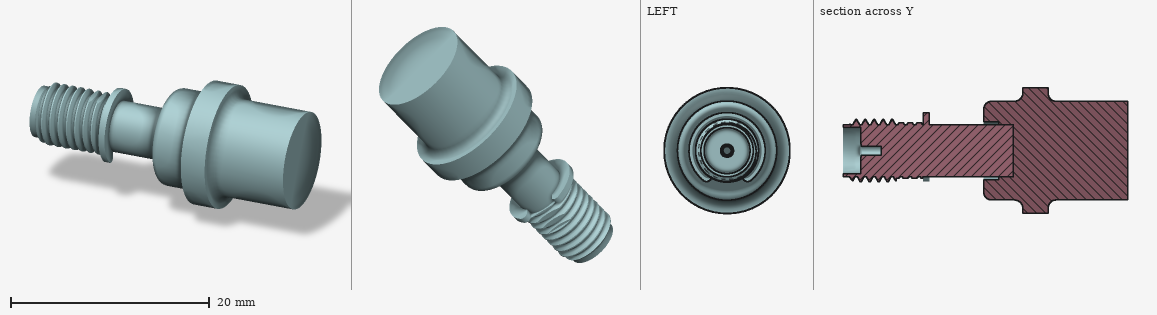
import cadquery as cq
import math


overall_length = 28.7
thread_start = 0.61
flats_start = 5.38
washer_start = 8.05
washer_end = 8.7
housing_start = 14.15
flange_start = 18.1
flange_end = 20.7

barrel_radius = 2.64
thread_radius = 6.35 / 2
thread_pitch = 0.905
thread_crest_x = 1.33
crest_width = 0.12
ridge_base_width = 0.7
root_overlap = 0.06
lead_in_length = 0.45
flat_half_height = 2.82
washer_radius = 3.84
slot_half_width = 1.57
slot_corner_radius = 0.5

bore_radius = 2.32
bore_depth = 1.75
contact_radius = 0.65
contact_recess = 0.06
contact_hole_radius = 0.42
contact_hole_depth = 2.0
contact_hole_chamfer = 0.1

flange_radius = 12.7 / 2
housing_radius = 5.0
nose_fillet = 0.83
front_flange_fillet = 0.85
rear_flange_fillet = 0.75
clearance_radius = 2.9
clearance_depth = 1.5
socket_depth = 3.0
neck_end = housing_start + socket_depth

margin = 1.0


def disc(radius, start, end):
    """A cylinder on the X axis between two stations."""
    return cq.Workplane("YZ", origin=(start, 0, 0)).circle(radius).extrude(end - start)


def turned(points):
    """A solid turned about the X axis from a closed outline of (x, radius) points."""
    return cq.Workplane("XY").polyline(points).close().revolve(360, (0, 0, 0), (1, 0, 0))


def thread_envelope():
    """The space the thread may fill: a lead-in cone, a round part, then two flats."""
    outer_radius = thread_radius + margin
    lead_in_end = thread_start + lead_in_length
    front = turned([
        (thread_start, 0),
        (thread_start, barrel_radius),
        (lead_in_end, thread_radius),
        (lead_in_end, outer_radius),
        (flats_start, outer_radius),
        (flats_start, 0),
    ])
    between_flats = cq.Workplane("XY").box(
        2 * overall_length, 2 * outer_radius, 2 * flat_half_height
    )
    rear = disc(outer_radius, flats_start, washer_start).intersect(between_flats)
    return front.union(rear)


def thread_ridge():
    """A right-handed helical ridge, tapered at its start and flattened near the washer."""
    lead_in_turns = 2.25
    sweep_start = thread_crest_x - lead_in_turns * thread_pitch
    turns = math.ceil((washer_start - sweep_start) / thread_pitch) + 1

    inner_radius = barrel_radius - root_overlap
    half_crest = crest_width / 2
    flank_slope = (ridge_base_width / 2 - half_crest) / (thread_radius - barrel_radius)
    half_root = ridge_base_width / 2 + flank_slope * root_overlap

    helix = cq.Wire.makeHelix(thread_pitch, turns * thread_pitch, barrel_radius)
    ridge = (
        cq.Workplane("XZ")
        .polyline([
            (inner_radius, -half_root),
            (thread_radius, -half_crest),
            (thread_radius, half_crest),
            (inner_radius, half_root),
        ])
        .close()
        .sweep(cq.Workplane(obj=helix), isFrenet=True)
    )
    ridge = ridge.rotate((0, 0, 0), (1, 1, 1), 120).translate((sweep_start, 0, 0))
    return ridge.intersect(thread_envelope())


def washer():
    """Thin flange with a slot open at the bottom and rounded at its mouth."""
    slot_height = washer_radius + margin
    slot = (
        cq.Workplane("XY", origin=(0, 0, -slot_height))
        .box(2 * overall_length, 2 * slot_half_width, slot_height, centered=(True, True, False))
    )
    mouth = cq.selectors.BoxSelector(
        (washer_start, -washer_radius, -washer_radius),
        (washer_end, washer_radius, -washer_radius / 2),
    )
    flange = disc(washer_radius, washer_start, washer_end).cut(slot)
    return flange.edges("|X").edges(mouth).fillet(slot_corner_radius)


def mating_bore():
    """Space inside the mating end: the bore, the contact recess and the chamfered contact hole."""
    contact_face = bore_depth + contact_recess
    hole_end = contact_face + contact_hole_depth
    return turned([
        (0, 0),
        (0, bore_radius),
        (bore_depth, bore_radius),
        (bore_depth, contact_radius),
        (contact_face, contact_radius),
        (contact_face, contact_hole_radius + contact_hole_chamfer),
        (contact_face + contact_hole_chamfer, contact_hole_radius),
        (hole_end, contact_hole_radius),
        (hole_end, 0),
    ])


def make_connector():
    """Threaded barrel, slotted washer flange and neck, bored at the mating end."""
    stem = disc(barrel_radius, 0, neck_end)
    return stem.union(washer()).union(thread_ridge()).cut(mating_bore())


def make_housing():
    """Turned housing with a rounded nose, a filleted flange and a socket for the neck."""
    front_fillet_start = flange_start - front_flange_fillet
    rear_fillet_end = flange_end + rear_flange_fillet
    shell = (
        cq.Workplane("XY")
        .moveTo(housing_start, 0)
        .lineTo(housing_start, housing_radius - nose_fillet)
        .radiusArc((housing_start + nose_fillet, housing_radius), nose_fillet)
        .lineTo(front_fillet_start, housing_radius)
        .radiusArc((flange_start, housing_radius + front_flange_fillet), -front_flange_fillet)
        .lineTo(flange_start, flange_radius)
        .lineTo(flange_end, flange_radius)
        .lineTo(flange_end, housing_radius + rear_flange_fillet)
        .radiusArc((rear_fillet_end, housing_radius), -rear_flange_fillet)
        .lineTo(overall_length, housing_radius)
        .lineTo(overall_length, 0)
        .close()
        .revolve(360, (0, 0, 0), (1, 0, 0))
    )
    clearance = disc(clearance_radius, housing_start, housing_start + clearance_depth)
    socket = disc(barrel_radius, housing_start, neck_end)
    return shell.cut(clearance).cut(socket)


connector = make_connector()
housing = make_housing()

result = cq.Compound.makeCompound([connector.solids().val(), housing.solids().val()])